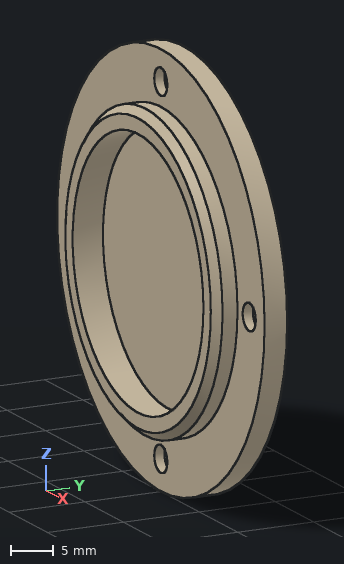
import cadquery as cq

flange_diameter = 54.0
total_depth = 6.0
flange_thickness = total_depth / 2
boss_diameter = 39.9
boss_chamfer = 1.0
recess_diameter = 34.0
recess_depth = 4.0
bolt_circle_diameter = 46.0
bolt_hole_diameter = 3.4
bolt_hole_count = 4
countersink_diameter = 6.7
countersink_angle = 90


def disc(diameter, front_y, thickness):
    """Disc about the Y axis, extending from front_y toward +Y."""
    plane = cq.Workplane("XZ", origin=(0, front_y, 0))
    return plane.circle(diameter / 2).extrude(-thickness)


def drill_bolt_holes(body):
    """Cut the ring of through holes, each countersunk from the flange back."""
    return (
        body.faces(">Y")
        .workplane(centerOption="CenterOfBoundBox")
        .polarArray(bolt_circle_diameter / 2, 0, 360, bolt_hole_count)
        .cskHole(bolt_hole_diameter, countersink_diameter, countersink_angle)
    )


boss_height = total_depth - flange_thickness
flange = disc(flange_diameter, boss_height, flange_thickness)
boss = disc(boss_diameter, 0, boss_height).faces("<Y").edges().chamfer(boss_chamfer)
recess = disc(recess_diameter, 0, recess_depth)

result = drill_bolt_holes(flange.union(boss).cut(recess))